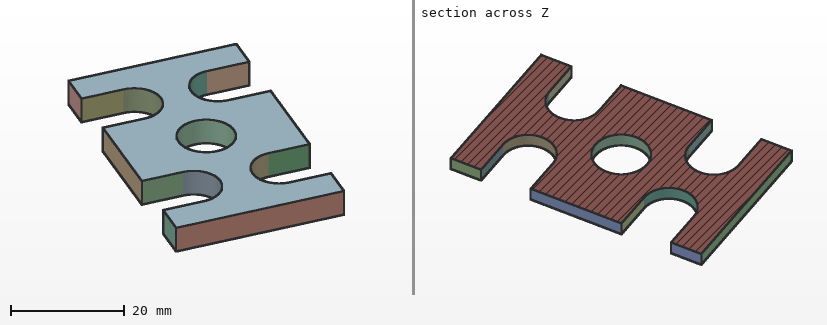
import cadquery as cq

length = 50.8
width = 31.75
thickness = 5.0

hole_diameter = 10.4

slot_width = 10.0
slot_offset = 14.2
left_slot_depth = 13.0
right_slot_depth = 12.8


def edge_slot(x, side, depth):
    """Through slot entering from the +Y edge (side = 1) or the -Y edge (side = -1)."""
    radius = slot_width / 2
    edge_y = side * width / 2
    arc_start_y = edge_y - side * (depth - radius)
    tip_y = edge_y - side * depth
    return (
        cq.Workplane("XY")
        .moveTo(x - radius, edge_y)
        .lineTo(x - radius, arc_start_y)
        .threePointArc((x, tip_y), (x + radius, arc_start_y))
        .lineTo(x + radius, edge_y)
        .close()
        .extrude(thickness)
    )


plate = cq.Workplane("XY").rect(length, width).extrude(thickness)
plate = plate.faces(">Z").workplane().hole(hole_diameter)

for side in (1, -1):
    plate = plate.cut(edge_slot(-slot_offset, side, left_slot_depth))
    plate = plate.cut(edge_slot(slot_offset, side, right_slot_depth))

result = plate